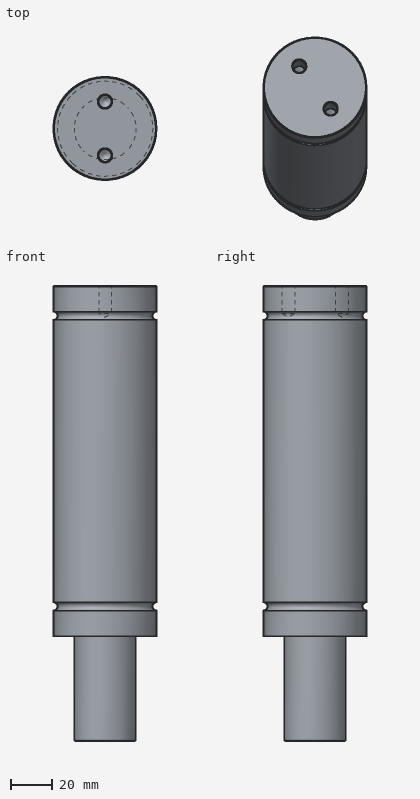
import cadquery as cq

TOTAL_LENGTH = 220.0
HOUSING_DIAMETER = 50.0
HOUSING_CHAMFER = 0.5
ROD_DIAMETER = 30.0
ROD_LENGTH = 50.5
ROD_END_FILLET = 1.0

GROOVE_RADIUS = 2.0
GROOVE_END_DISTANCE = 14.5

HOLE_DIAMETER = 6.2
COUNTERSINK_DIAMETER = 7.0
HOLE_SPACING = 26.0
HOLE_DEPTH = 13.2
DRILL_POINT_HEIGHT = 2.0

HOUSING_RADIUS = HOUSING_DIAMETER / 2
HOUSING_LENGTH = TOTAL_LENGTH - ROD_LENGTH


def make_groove_cutter(z):
    """Ring of circular section centred on the housing surface at height z."""
    return cq.Workplane("XY").add(
        cq.Solid.makeTorus(HOUSING_RADIUS, GROOVE_RADIUS, cq.Vector(0, 0, z), cq.Vector(0, 0, 1))
    )


def make_hole_cutter(y):
    """Drill shape entering the top face at X = 0 and the given Y."""
    hole_radius = HOLE_DIAMETER / 2
    mouth_radius = COUNTERSINK_DIAMETER / 2
    return (
        cq.Workplane("XZ")
        .polyline([
            (0, 0),
            (mouth_radius, 0),
            (hole_radius, hole_radius - mouth_radius),
            (hole_radius, -HOLE_DEPTH),
            (0, -HOLE_DEPTH - DRILL_POINT_HEIGHT),
        ])
        .close()
        .revolve(360, (0, 0, 0), (0, 1, 0))
        .translate((0, y, TOTAL_LENGTH))
    )


def make_housing():
    """Cylinder standing on the rod, with a chamfered top rim, end grooves and mounting holes."""
    body = (
        cq.Workplane("XY")
        .workplane(offset=ROD_LENGTH)
        .circle(HOUSING_RADIUS)
        .extrude(HOUSING_LENGTH)
        .faces(">Z")
        .chamfer(HOUSING_CHAMFER)
    )
    for z in (ROD_LENGTH + GROOVE_END_DISTANCE, TOTAL_LENGTH - GROOVE_END_DISTANCE):
        body = body.cut(make_groove_cutter(z))
    for y in (-HOLE_SPACING / 2, HOLE_SPACING / 2):
        body = body.cut(make_hole_cutter(y))
    return body


def make_rod():
    """Piston rod meeting the housing's lower face, rounded at its free end."""
    return (
        cq.Workplane("XY")
        .circle(ROD_DIAMETER / 2)
        .extrude(ROD_LENGTH)
        .faces("<Z")
        .fillet(ROD_END_FILLET)
    )


housing = make_housing()
rod = make_rod()
result = cq.Compound.makeCompound([housing.val(), rod.val()])